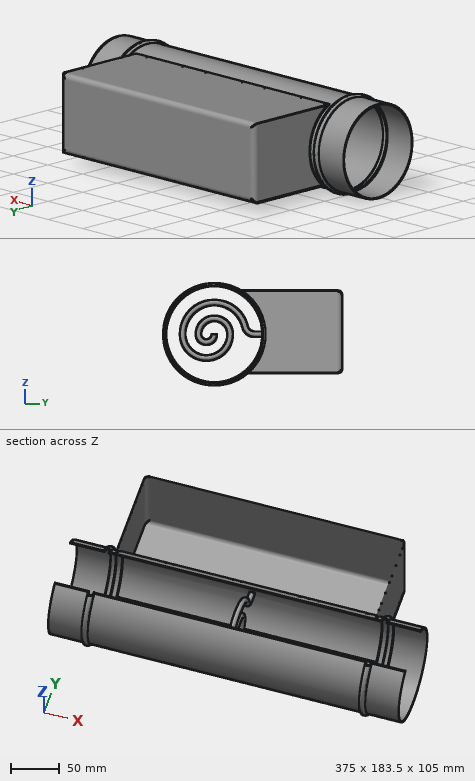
import cadquery as cq
import math

sheet_thickness = 1.0

duct_length = 375.0
duct_outer_radius = 50.0
duct_inner_radius = duct_outer_radius - sheet_thickness
bead_height = 2.5
bead_radius = 3.5
bead_end_distance = 39.0
bead_x = duct_length / 2 - bead_end_distance
bead_center_radius = duct_outer_radius + bead_height - bead_radius

box_length = 279.0
box_back_y = 131.0
box_top_z = 45.0
box_bottom_z = -40.0
box_fillet = 5.5

rod_radius = 3.0
coil_step = 8.1
coil_half_circles = 4
elbow_radius = 10.0


def x_cylinder(radius, length):
    """Cylinder of the given radius along X, centred on the origin."""
    return cq.Workplane("YZ").circle(radius).extrude(length / 2, both=True)


def bead(x, radius):
    """Ring of round section running around the duct at the given X."""
    return (
        cq.Workplane("XY")
        .center(x, bead_center_radius)
        .circle(radius)
        .revolve(360, (-x, -bead_center_radius, 0), (1 - x, -bead_center_radius, 0))
    )


def box_block(inset):
    """Block from the duct axis to the back, its closed sides moved inward by the inset."""
    half_length = box_length / 2 - inset
    height = box_top_z - box_bottom_z - 2 * inset
    return (
        cq.Workplane("XY")
        .box(2 * half_length, box_back_y - inset, height, centered=(True, False, False))
        .translate((0, 0, box_bottom_z + inset))
        .faces(">Y")
        .edges()
        .fillet(box_fillet - inset)
    )


def heating_coil():
    """Rod from the duct wall through an S-bend into the spiral, in the plane X = 0."""
    outer_radius = coil_half_circles * coil_step
    elbow_angle = math.asin(elbow_radius / (outer_radius + elbow_radius))
    elbow_y = (outer_radius + elbow_radius) * math.cos(elbow_angle)
    mid_angle = (math.pi / 2 - elbow_angle) / 2
    elbow_mid = (elbow_y - elbow_radius * math.sin(mid_angle), elbow_radius * (1 - math.cos(mid_angle)))
    join = (outer_radius * math.cos(elbow_angle), outer_radius * math.sin(elbow_angle))
    path = (
        cq.Workplane("YZ")
        .moveTo(duct_outer_radius, 0)
        .lineTo(elbow_y, 0)
        .threePointArc(elbow_mid, join)
        .threePointArc((0, outer_radius), (-outer_radius, 0))
    )
    y = -outer_radius
    side = 1
    for half_circle in range(coil_half_circles - 1, 0, -1):
        radius = half_circle * coil_step
        end_y = y + 2 * side * radius
        path = path.threePointArc((y + side * radius, -side * radius), (end_y, 0))
        y = end_y
        side = -side
    rod = cq.Workplane("XZ", origin=(0, duct_outer_radius, 0)).circle(rod_radius)
    return rod.sweep(path)


duct_body = x_cylinder(duct_outer_radius, duct_length)
duct_bore = x_cylinder(duct_inner_radius, duct_length)
for x in (-bead_x, bead_x):
    duct_body = duct_body.union(bead(x, bead_radius))
    duct_bore = duct_bore.union(bead(x, bead_radius - sheet_thickness))

terminal_box = box_block(0).cut(box_block(sheet_thickness))

result = duct_body.union(terminal_box).cut(duct_bore).union(heating_coil())